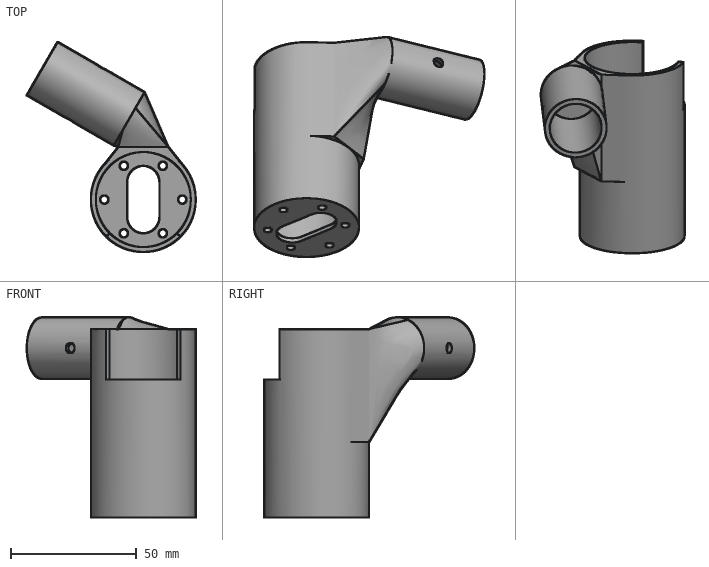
import cadquery as cq
import math

cup_outer_radius = 41.8 / 2
wall = 2.0
cup_inner_radius = cup_outer_radius - wall
cup_height = 75.0
floor_thickness = wall

screw_hole_diameter = 3.2
screw_circle_radius = 15.5
screw_hole_count = 6
slot_width = 12.7
slot_centre_distance = 14.0

notch_depth = 20.0
notch_half_angle = 45.0

pad_half_width = 10.0
pad_height = 45.0
pad_face_y = cup_outer_radius
pad_foot_y = 13.8
pad_bottom_z = cup_height - pad_height

tube_outer_radius = 24.6 / 2
tube_inner_radius = tube_outer_radius - wall
tube_length = 40.0
tube_angle = math.radians(30.0)
tube_root_x = -5.6
tube_root_y = 32.1
tube_root_z = 67.4
pin_hole_diameter = 4.0

tube_root = cq.Vector(tube_root_x, tube_root_y, tube_root_z)
tube_axis = cq.Vector(-math.cos(tube_angle), math.sin(tube_angle), 0)
tube_side = cq.Vector(math.sin(tube_angle), math.cos(tube_angle), 0)


def make_cup_body():
    """Solid outer cylinder of the cup."""
    return cq.Workplane("XY").circle(cup_outer_radius).extrude(cup_height)


def make_pad():
    """Wedge whose flat sides run from the pad face down to the round outside of the cup."""
    foot_x = math.sqrt(cup_outer_radius**2 - pad_foot_y**2)
    outline = [
        (0, 0),
        (foot_x, pad_foot_y),
        (pad_half_width, pad_face_y),
        (-pad_half_width, pad_face_y),
        (-foot_x, pad_foot_y),
    ]
    pad = cq.Workplane("XY").workplane(offset=pad_bottom_z).polyline(outline).close()
    return pad.extrude(pad_height)


def tube_root_point(angle):
    """Point on the tube's root circle, the angle measured from the tube side toward +Z."""
    sideways = tube_side * (tube_outer_radius * math.cos(angle))
    upward = cq.Vector(0, 0, tube_outer_radius * math.sin(angle))
    return tube_root + sideways + upward


def make_neck():
    """Ruled loft from the rectangular pad face to the round root of the tube."""
    pad_corners = [
        cq.Vector(pad_half_width, pad_face_y, cup_height),
        cq.Vector(-pad_half_width, pad_face_y, cup_height),
        cq.Vector(-pad_half_width, pad_face_y, pad_bottom_z),
        cq.Vector(pad_half_width, pad_face_y, pad_bottom_z),
    ]
    diagonal = math.atan2(pad_height / 2, pad_half_width)
    splits = [diagonal, math.pi - diagonal, math.pi + diagonal, 2 * math.pi - diagonal]

    pad_edges = []
    arc_edges = []
    for i in range(4):
        following = (i + 1) % 4
        pad_edges.append(cq.Edge.makeLine(pad_corners[i], pad_corners[following]))
        end_angle = splits[following]
        if following == 0:
            end_angle += 2 * math.pi
        arc_edges.append(cq.Edge.makeThreePointArc(
            tube_root_point(splits[i]),
            tube_root_point((splits[i] + end_angle) / 2),
            tube_root_point(end_angle),
        ))
    pad_wire = cq.Wire.assembleEdges(pad_edges)
    tube_wire = cq.Wire.assembleEdges(arc_edges)
    return cq.Workplane(cq.Solid.makeLoft([pad_wire, tube_wire], True))


def make_tube_cylinder(radius):
    """Cylinder along the tube from its root to its open end."""
    return cq.Workplane(cq.Solid.makeCylinder(radius, tube_length, tube_root, tube_axis))


def make_cup_cavity():
    """Round cavity above the cup floor."""
    cavity = cq.Workplane("XY").workplane(offset=floor_thickness)
    return cavity.circle(cup_inner_radius).extrude(cup_height - floor_thickness)


def make_floor_openings():
    """Ring of screw holes and the central slot, through the cup floor."""
    screw_holes = (
        cq.Workplane("XY")
        .polarArray(screw_circle_radius, 0, 360, screw_hole_count)
        .circle(screw_hole_diameter / 2)
        .extrude(floor_thickness)
    )
    slot = (
        cq.Workplane("XY")
        .slot2D(slot_centre_distance + slot_width, slot_width, 90)
        .extrude(floor_thickness)
    )
    return screw_holes.union(slot)


def make_rim_notch():
    """Wedge with its tip on the cup axis, reaching past the front of the cup wall."""
    reach = 2 * cup_outer_radius
    half_width = reach * math.tan(math.radians(notch_half_angle))
    return (
        cq.Workplane("XY")
        .workplane(offset=cup_height - notch_depth)
        .polyline([(0, 0), (-half_width, -reach), (half_width, -reach)])
        .close()
        .extrude(notch_depth)
    )


def make_pin_hole():
    """Horizontal hole across the middle of the tube, through both walls."""
    start = tube_root + tube_axis * (tube_length / 2) - tube_side * tube_outer_radius
    hole = cq.Solid.makeCylinder(pin_hole_diameter / 2, 2 * tube_outer_radius, start, tube_side)
    return cq.Workplane(hole)


body = make_cup_body().union(make_pad()).union(make_neck())
body = body.union(make_tube_cylinder(tube_outer_radius))

result = (
    body.cut(make_cup_cavity())
    .cut(make_floor_openings())
    .cut(make_rim_notch())
    .cut(make_tube_cylinder(tube_inner_radius))
    .cut(make_pin_hole())
)